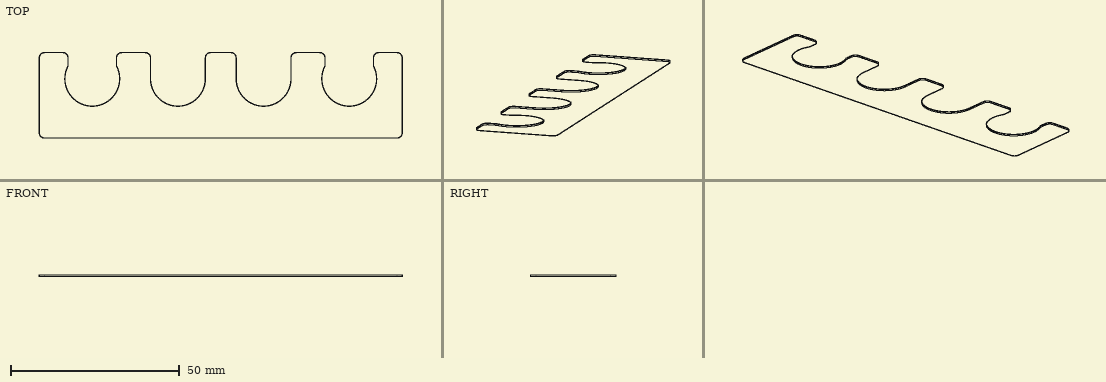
import cadquery as cq
import math

length = 107.7
width = 25.4
thickness = 0.5
corner_radius = 1.6

slot_count = 4
slot_pitch = 25.4
slot_radius = 8.1
slot_center_depth = 7.8
neck_width = 14.3

top_y = width / 2
slot_center_y = top_y - slot_center_depth


def slot_cutter(center_x, mouth_width):
    """Round seat joined to the +Y edge by a straight mouth of the given width."""
    half_mouth = mouth_width / 2
    mouth_base_y = slot_center_y + math.sqrt(slot_radius**2 - half_mouth**2)
    return (
        cq.Workplane("XY")
        .moveTo(center_x - half_mouth, top_y)
        .lineTo(center_x - half_mouth, mouth_base_y)
        .threePointArc(
            (center_x, slot_center_y - slot_radius),
            (center_x + half_mouth, mouth_base_y),
        )
        .lineTo(center_x + half_mouth, top_y)
        .close()
        .extrude(thickness)
    )


def notched_strip():
    """Strip with an end-to-end row of slots, the outer two with narrowed mouths."""
    strip = cq.Workplane("XY").box(length, width, thickness, centered=(True, True, False))
    for index in range(slot_count):
        center_x = (index - (slot_count - 1) / 2) * slot_pitch
        is_end_slot = index in (0, slot_count - 1)
        mouth_width = neck_width if is_end_slot else 2 * slot_radius
        strip = strip.cut(slot_cutter(center_x, mouth_width))
    return strip


def round_corners(strip):
    """Round every vertical edge on the +Y and -Y sides, including the slot mouths."""
    front_corners = strip.faces("<Y").edges("|Z")
    back_corners = strip.faces(">Y").edges("|Z")
    return front_corners.add(back_corners).fillet(corner_radius)


result = round_corners(notched_strip())